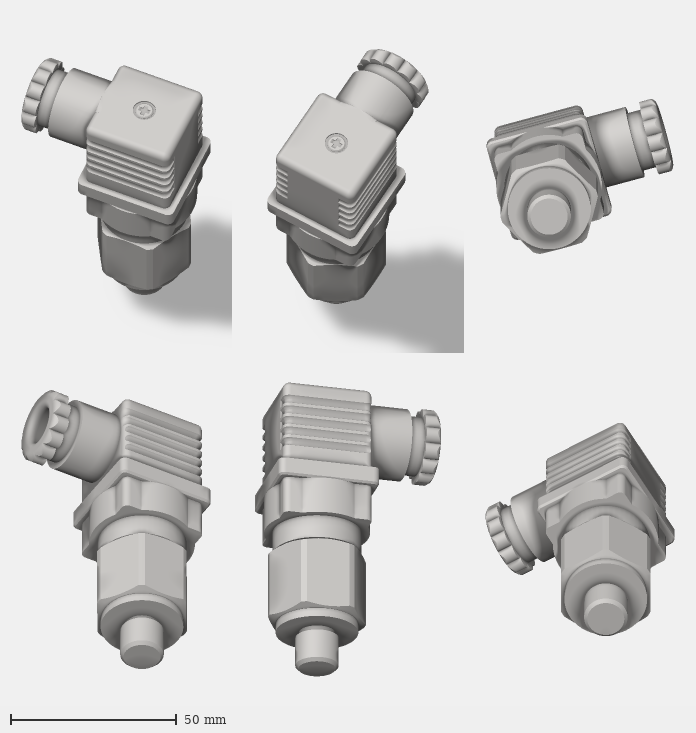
import cadquery as cq
import math

THREAD_DIAMETER = 13.16
THREAD_CHAMFER = 1.0
UNDERCUT_DIAMETER = 11.0
SEAL_DIAMETER = 25.0
HEX_ACROSS_FLATS = 27.0
HEX_CORNER_DIAMETER = 30.1
HEX_FACE_DIAMETER = 25.4
HEX_CHAMFER_ANGLE = 27.0
NECK_DIAMETER = 27.0
COLLAR_DIAMETER = 32.0
THREAD_TOP = 10.1
UNDERCUT_TOP = 11.9
SEAL_TOP = 14.6
HEX_TOP = 37.6
NECK_TOP = 44.8
COLLAR_TOP = 56.2

FLANGE_WIDTH = 31.4
FLANGE_TOP = 61.6
FLANGE_CHAMFER = 0.6
BODY_WIDTH = 27.6
BODY_HALF = BODY_WIDTH / 2
CORNER_RADIUS = 2.0

GROOVE_RADIUS = 1.45
GROOVE_DEPTH = 0.78
GROOVE_PITCH = 3.5
GROOVE_COUNT = 5
FLARED_GROOVES = 2
LOWEST_GROOVE_Z = 68.1
GROOVE_AXIS = BODY_HALF + GROOVE_RADIUS - GROOVE_DEPTH
BACK_PANEL_WIDTH = 18.0
BACK_PANEL_TOP = 85.0

OUTLET_Z = 77.1
HUB_RADIUS = 11.0
HUB_END_X = -26.9
BODY_TOP = OUTLET_Z + HUB_RADIUS
HUB_BLEND_REACH = math.sqrt(HUB_RADIUS**2 - (HUB_RADIUS - CORNER_RADIUS) ** 2)
BLEND_STEPS = 6
BLEND_END_SIZE = 0.01
OUTLET_NECK_RADIUS = 9.0
NUT_RADIUS = 11.5
NUT_END_X = -36.25
NUT_LENGTH = 4.9
LOBE_COUNT = 12
LOBE_RADIUS = 2.5
NUT_FACE_RADIUS = 9.25
NUT_EDGE_ROUND = 2.5
BORE_RADIUS = 5.5
BORE_MOUTH_ROUND = 2.0
BORE_DEPTH = 9.0
BORE_TIP_ANGLE = 118.0

SCREW_HOLE_DIAMETER = 7.0
SCREW_HEAD_DIAMETER = 5.6
SCREW_HEAD_CHAMFER = 0.4
SCREW_HOLE_DEPTH = 0.5
CROSS_LENGTH = 3.7
CROSS_WIDTH = 1.35
CROSS_DEPTH = 1.0


def disc(diameter, bottom, top):
    return cq.Workplane("XY").workplane(offset=bottom).circle(diameter / 2).extrude(top - bottom)


def square_block(width, bottom, top):
    return cq.Workplane("XY").workplane(offset=bottom).rect(width, width).extrude(top - bottom)


def outlet_cylinder(radius, x_start, x_end):
    base = cq.Plane(origin=(x_start, 0, OUTLET_Z), xDir=(0, 0, 1), normal=(1, 0, 0))
    return cq.Workplane(base).circle(radius).extrude(x_end - x_start)


def hexagon():
    """Hexagon with turned corners and a conical chamfer at both ends."""
    height = HEX_TOP - SEAL_TOP
    prism = (
        cq.Workplane("XY")
        .workplane(offset=SEAL_TOP)
        .polygon(6, HEX_ACROSS_FLATS, circumscribed=True)
        .extrude(height)
        .rotate((0, 0, 0), (0, 0, 1), 90)
    )
    corner_radius = HEX_CORNER_DIAMETER / 2
    face_radius = HEX_FACE_DIAMETER / 2
    drop = (corner_radius - face_radius) * math.tan(math.radians(HEX_CHAMFER_ANGLE))
    envelope = (
        cq.Workplane("XZ")
        .moveTo(0, SEAL_TOP)
        .lineTo(face_radius, SEAL_TOP)
        .lineTo(corner_radius, SEAL_TOP + drop)
        .lineTo(corner_radius, HEX_TOP - drop)
        .lineTo(face_radius, HEX_TOP)
        .lineTo(0, HEX_TOP)
        .close()
        .revolve(360, (0, 0, 0), (0, 1, 0))
    )
    return prism.intersect(envelope)


def pressure_connection():
    thread = disc(THREAD_DIAMETER, 0, THREAD_TOP).faces("<Z").chamfer(THREAD_CHAMFER)
    undercut = disc(UNDERCUT_DIAMETER, THREAD_TOP, UNDERCUT_TOP)
    seal = disc(SEAL_DIAMETER, UNDERCUT_TOP, SEAL_TOP)
    neck = disc(NECK_DIAMETER, HEX_TOP, NECK_TOP)
    return thread.union(undercut).union(seal).union(hexagon()).union(neck)


def collar():
    square = square_block(BODY_WIDTH, NECK_TOP, COLLAR_TOP).edges("|Z").fillet(CORNER_RADIUS)
    return disc(COLLAR_DIAMETER, NECK_TOP, COLLAR_TOP).union(square)


def flange():
    block = square_block(FLANGE_WIDTH, COLLAR_TOP, FLANGE_TOP)
    return block.edges("|Z").fillet(CORNER_RADIUS).faces("<Z").chamfer(FLANGE_CHAMFER)


def side_groove(side, z, x_start, x_end):
    """Groove cutter along X on the +Y or -Y side."""
    center = cq.Workplane("YZ", origin=(x_start, -GROOVE_AXIS, z))
    groove = center.circle(GROOVE_RADIUS).extrude(x_end - x_start)
    return groove if side < 0 else groove.mirror("XZ")


def back_groove(z):
    """Groove cutter along Y on the +X side, mitring into the side grooves."""
    center = cq.Workplane("XZ", origin=(GROOVE_AXIS, 0, z))
    return center.circle(GROOVE_RADIUS).extrude(BODY_WIDTH, both=True)


def groove_flare(side, z):
    """Trumpet-shaped cutter that rounds the mouth of a side groove in the -X face."""
    mouth_radius = GROOVE_RADIUS + CORNER_RADIUS
    return (
        cq.Workplane("XY", origin=(-BODY_HALF, side * GROOVE_AXIS, z))
        .lineTo(0, mouth_radius)
        .radiusArc((CORNER_RADIUS, GROOVE_RADIUS), -CORNER_RADIUS)
        .lineTo(CORNER_RADIUS, 0)
        .close()
        .revolve(360, (0, 0, 0), (1, 0, 0))
    )


def vertical_corner(x_side, y_side):
    """Selector for the edges, plain or grooved, that run up one corner of the body."""
    inner = BODY_HALF - GROOVE_RADIUS
    outer = BODY_HALF + GROOVE_RADIUS
    return cq.selectors.BoxSelector(
        (x_side * inner, y_side * inner, FLANGE_TOP),
        (x_side * outer, y_side * outer, BODY_TOP),
    )


def body():
    """Housing block with rounded edges and grip grooves that wrap around its corners."""
    groove_heights = [LOWEST_GROOVE_Z + i * GROOVE_PITCH for i in range(GROOVE_COUNT)]
    block = square_block(BODY_WIDTH, FLANGE_TOP, BODY_TOP)
    for z in groove_heights:
        block = block.cut(back_groove(z))
        for side in (-1, 1):
            block = block.cut(side_groove(side, z, 0, BODY_WIDTH))

    for x_side in (-1, 1):
        for y_side in (-1, 1):
            block = block.edges(vertical_corner(x_side, y_side)).fillet(CORNER_RADIUS)
    block = block.faces(">Z").edges().fillet(CORNER_RADIUS)

    for side in (-1, 1):
        for z in groove_heights:
            block = block.cut(side_groove(side, z, -BODY_WIDTH, 0))
        for z in groove_heights[-FLARED_GROOVES:]:
            block = block.cut(groove_flare(side, z))

    panel = (
        cq.Workplane("XY")
        .box(BODY_HALF, BACK_PANEL_WIDTH, BACK_PANEL_TOP - FLANGE_TOP, centered=(False, True, False))
        .translate((0, 0, FLANGE_TOP))
    )
    return block.union(panel)


def hub_blend_section(y, side):
    """Block section whose rounded edge reaches down to the hub at the given distance from its middle."""
    setback = max(CORNER_RADIUS * math.sin(math.pi / 2 * y / HUB_BLEND_REACH), BLEND_END_SIZE)
    drop = max(HUB_RADIUS - math.sqrt(HUB_RADIUS**2 - y**2), BLEND_END_SIZE)
    depth = 2 * CORNER_RADIUS
    return (
        cq.Workplane("XZ", origin=(-BODY_HALF, side * y, BODY_TOP))
        .moveTo(0, -depth)
        .lineTo(0, -drop)
        .spline([(setback, 0)], tangents=[(0, 1), (1, 0)], includeCurrent=True)
        .lineTo(depth, 0)
        .lineTo(depth, -depth)
        .close()
        .val()
    )


def hub_blend(side):
    """Rounded top edge above the hub, shrinking to nothing where the hub meets the top face."""
    distances = [HUB_BLEND_REACH * (1 - i / BLEND_STEPS) for i in range(BLEND_STEPS + 1)]
    sections = [hub_blend_section(y, side) for y in distances]
    return cq.Workplane(cq.Solid.makeLoft(sections, False))


def union_knob():
    """Scalloped union nut with a rounded front rim."""
    core_radius = NUT_RADIUS - LOBE_RADIUS
    x_inner = NUT_END_X + NUT_LENGTH
    knob = outlet_cylinder(core_radius, NUT_END_X, x_inner)
    lobes = (
        cq.Workplane("YZ", origin=(NUT_END_X, 0, OUTLET_Z))
        .polarArray(core_radius, 0, 360, LOBE_COUNT)
        .circle(LOBE_RADIUS)
        .extrude(NUT_LENGTH)
    )
    rim_reach = NUT_RADIUS - NUT_FACE_RADIUS
    rim_setback = NUT_EDGE_ROUND - math.sqrt(NUT_EDGE_ROUND**2 - rim_reach**2)
    envelope = (
        cq.Workplane("XY", origin=(NUT_END_X, 0, OUTLET_Z))
        .lineTo(0, NUT_FACE_RADIUS)
        .radiusArc((rim_setback, NUT_RADIUS), NUT_EDGE_ROUND)
        .lineTo(NUT_LENGTH, NUT_RADIUS)
        .lineTo(NUT_LENGTH, 0)
        .close()
        .revolve(360, (0, 0, 0), (1, 0, 0))
    )
    return knob.union(lobes).intersect(envelope)


def cable_bore():
    """Bore cutter with a rounded mouth and a drilled tip."""
    tip_length = BORE_RADIUS / math.tan(math.radians(BORE_TIP_ANGLE / 2))
    return (
        cq.Workplane("XY", origin=(NUT_END_X, 0, OUTLET_Z))
        .lineTo(0, BORE_RADIUS + BORE_MOUTH_ROUND)
        .radiusArc((BORE_MOUTH_ROUND, BORE_RADIUS), -BORE_MOUTH_ROUND)
        .lineTo(BORE_DEPTH, BORE_RADIUS)
        .lineTo(BORE_DEPTH + tip_length, 0)
        .close()
        .revolve(360, (0, 0, 0), (1, 0, 0))
    )


def cable_outlet():
    hub = outlet_cylinder(HUB_RADIUS, HUB_END_X, -BODY_HALF)
    neck = outlet_cylinder(OUTLET_NECK_RADIUS, NUT_END_X + NUT_LENGTH, HUB_END_X)
    return hub.union(neck).union(union_knob()).cut(cable_bore())


def cross_arm(angle):
    """Cutter for one arm of the cross recess, its floor sloping up away from the middle."""
    half_width = CROSS_WIDTH / 2
    return (
        cq.Workplane("XZ", origin=(0, 0, BODY_TOP))
        .lineTo(CROSS_LENGTH / 2, 0)
        .lineTo(half_width, -CROSS_DEPTH)
        .lineTo(0, -CROSS_DEPTH)
        .close()
        .extrude(half_width, both=True)
        .rotate((0, 0, 0), (0, 0, 1), angle)
    )


def add_screw(housing):
    floor = BODY_TOP - SCREW_HOLE_DEPTH
    head = disc(SCREW_HEAD_DIAMETER, floor, BODY_TOP).faces(">Z").chamfer(SCREW_HEAD_CHAMFER)
    for angle in (0, 90, 180, 270):
        head = head.cut(cross_arm(angle))
    return housing.cut(disc(SCREW_HOLE_DIAMETER, floor, BODY_TOP)).union(head)


def plug_housing():
    housing = body()
    for side in (-1, 1):
        housing = housing.union(hub_blend(side))
    return add_screw(housing).union(flange())


result = pressure_connection().union(collar()).union(plug_housing()).union(cable_outlet())